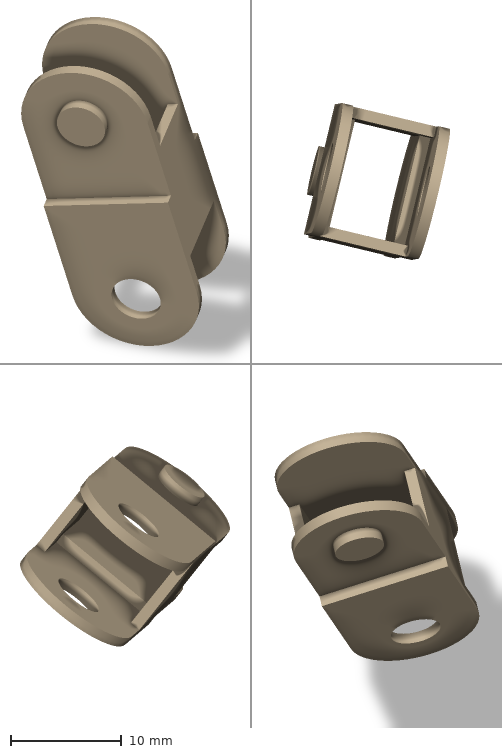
import cadquery as cq
import math

overall_height = 30.3
tilt_angle = 15.0
end_radius = 6.03
wall = 1.0
narrow_outer = 8.0
pivot_pitch = 20.0
pin_diameter = 4.5
hole_diameter = 4.6
web_half_length = 6.0
cheek_overlap = 2 * wall

narrow_inner = narrow_outer - 2 * wall
wide_outer = narrow_outer + 2 * wall
link_width = 2 * end_radius
arc_pitch = (overall_height - link_width) / math.cos(math.radians(tilt_angle))
link_length = arc_pitch + link_width


def centred_box(x_size, y_size, bottom, top):
    """Box centred in X and Y, between two heights."""
    return (
        cq.Workplane("XY")
        .box(x_size, y_size, top - bottom, centered=(True, True, False))
        .translate((0, 0, bottom))
    )


def cylinder_across(diameter, height):
    """Cylinder along Y, spanning the full link, at the given height."""
    return (
        cq.Workplane("XZ")
        .center(0, height)
        .circle(diameter / 2)
        .extrude(wide_outer / 2, both=True)
    )


def rounded_link(y_width):
    """Solid with the full round-ended link outline."""
    return (
        cq.Workplane("XZ")
        .slot2D(link_length, link_width, 90)
        .extrude(y_width / 2, both=True)
    )


def cheek_pair(outer_width, bottom, top):
    """Two parallel cheeks cut from the link outline between two heights."""
    inner_width = outer_width - 2 * wall
    pair = rounded_link(outer_width).intersect(centred_box(link_width, outer_width, bottom, top))
    return pair.cut(centred_box(link_width, inner_width, bottom, top))


def side_webs():
    """Two webs joining the cheeks along the straight edges of the link."""
    webs = centred_box(link_width, narrow_outer, -web_half_length, cheek_overlap / 2)
    webs = webs.union(centred_box(link_width, narrow_inner, -web_half_length, web_half_length))
    opening = centred_box(link_width - 2 * wall, narrow_outer, -web_half_length, web_half_length)
    return webs.cut(opening)


def pins():
    """Pin stubs on the outer faces of the narrow cheeks."""
    return cylinder_across(pin_diameter, pivot_pitch / 2).cut(rounded_link(narrow_outer))


pin_cheeks = cheek_pair(narrow_outer, -cheek_overlap / 2, link_length / 2)
hole_cheeks = cheek_pair(wide_outer, -link_length / 2, cheek_overlap / 2)

link = pin_cheeks.union(hole_cheeks).union(side_webs()).union(pins())
link = link.cut(cylinder_across(hole_diameter, -pivot_pitch / 2))

result = link.rotate((0, 0, 0), (0, 1, 0), -tilt_angle)